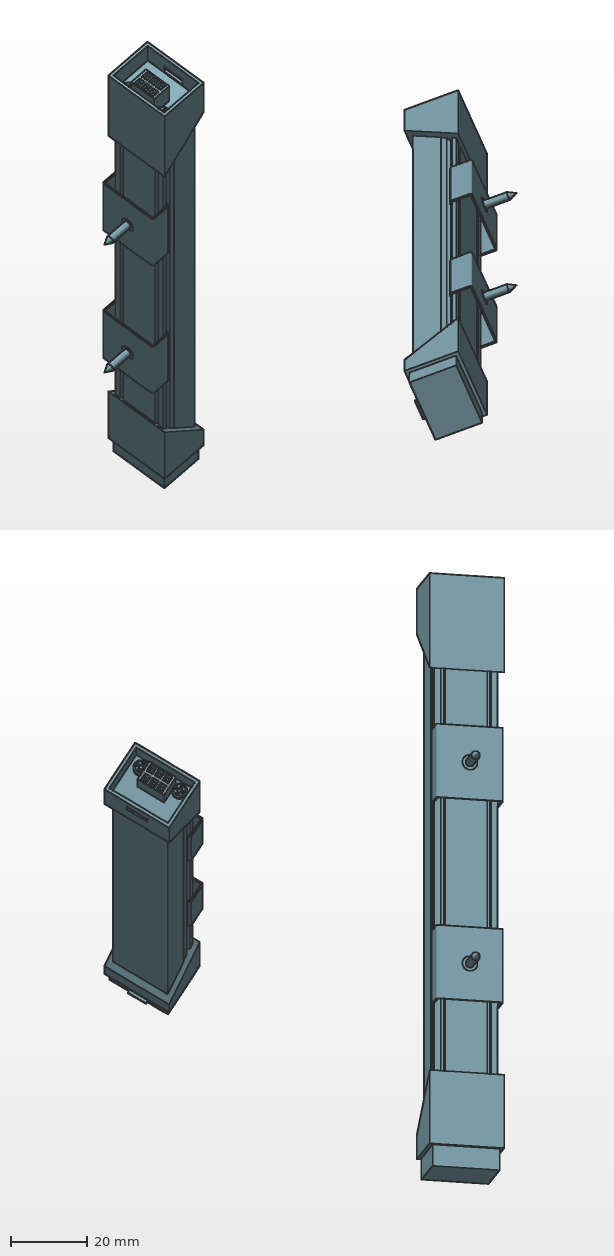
import cadquery as cq

LENGTH = 161.7

CAP_WIDTH = 20.0
CAP_DEPTH = 15.2
CAP_BACK_REACH = 12.5
CAP_FRONT_REACH = 25.9
WALL = 1.0
PLUG_LENGTH = 5.8
SOCKET_DEPTH = 6.3
SOCKET_FLOOR = LENGTH - SOCKET_DEPTH

LATCH_WIDTH = 5.7
LATCH_TOP = 1.8
LATCH_TIP = 1.3
LATCH_BOTTOM = 0.8
WINDOW_SILL = 0.5
WINDOW_WIDTH = 6.5
WINDOW_HEIGHT = 2.0

CONNECTOR_WIDTH = 8.2
CONNECTOR_DEPTH = 5.8
CONNECTOR_Y = 5.3
CONTACT_COLUMNS = 3
CONTACT_ROWS = 2
COLUMN_PITCH = 2.5
ROW_PITCH = 2.9
CONTACT_WIDTH = 1.8
CONTACT_HEIGHT = 2.1
CONTACT_DEPTH = 3.2
PIN_WIDTH = 0.8
PIN_RECESS = 0.8

CAP_SCREW_OFFSET = 6.0
CAP_SCREW_Y = 3.5
CAP_SCREW_HEIGHT = 1.5
CROSS_LENGTH = 2.3
CROSS_WIDTH = 0.6
CROSS_DEPTH = 0.8

PROFILE_WIDTH = 17.0
PROFILE_HALF = PROFILE_WIDTH / 2
PROFILE_FRONT = 1.1
PROFILE_BACK = 13.5
PROFILE_OVERLAP = 1.6
V_START = 2.3
V_HALF = 0.8
V_DEPTH = 1.0
STEP_BACK = 5.5
STEP_DEPTH = 0.2
SLOT_INNER = 5.7
SLOT_OUTER = 6.8
SLOT_DEPTH = 1.6

SHEET = 0.5
CLIP_HEIGHT = 20.0
CLIP_FRONT = -3.4
CLIP_BEND = 0.5
CLIP_LIP = 0.5
CLIP_SPACING = 55.0
LOWER_CLIP_Z = 54.7
CLIP_LEVELS = [LOWER_CLIP_Z, LOWER_CLIP_Z + CLIP_SPACING]

HEAD_DIAMETER = 4.0
HEAD_TOP = -1.3
HEAD_CHAMFER = 0.5
SHANK_DIAMETER = 2.3
SHANK_END = -10.2
TIP = -12.5


def box(x_range, y_range, z_range):
    """Axis-aligned block between the given limits."""
    size = [high - low for low, high in (x_range, y_range, z_range)]
    corner = (x_range[0], y_range[0], z_range[0])
    return cq.Workplane("XY").box(*size, centered=False).translate(corner)


def centred(width):
    return (-width / 2, width / 2)


def side_extrusion(points, width):
    """Prism of a (Y, Z) outline, centred on the mid plane."""
    return cq.Workplane("YZ").polyline(points).close().extrude(width / 2, both=True)


def mirrored_outline(half):
    """Complete a right-hand (X, Y) outline with its mirror image."""
    return half + [(-x, y) for x, y in reversed(half)]


def make_profile():
    v_middle = V_START + V_HALF
    v_end = V_START + 2 * V_HALF
    stepped = PROFILE_HALF - STEP_DEPTH
    half = [
        (SLOT_INNER, PROFILE_FRONT),
        (SLOT_INNER, PROFILE_FRONT + SLOT_DEPTH),
        (SLOT_OUTER, PROFILE_FRONT + SLOT_DEPTH),
        (SLOT_OUTER, PROFILE_FRONT),
        (PROFILE_HALF, PROFILE_FRONT),
        (PROFILE_HALF, V_START),
        (PROFILE_HALF - V_DEPTH, v_middle),
        (stepped, v_end),
        (stepped, STEP_BACK),
        (PROFILE_HALF, STEP_BACK),
        (PROFILE_HALF, PROFILE_BACK),
    ]
    end_inset = CAP_BACK_REACH - PROFILE_OVERLAP
    return (
        cq.Workplane("XY", origin=(0, 0, end_inset))
        .polyline(mirrored_outline(half))
        .close()
        .extrude(LENGTH - 2 * end_inset)
    )


def make_bottom_cap():
    """Sloped cap with the plug and its snap latch below it."""
    cap = side_extrusion(
        [(0, PLUG_LENGTH), (CAP_DEPTH, PLUG_LENGTH), (CAP_DEPTH, CAP_BACK_REACH), (0, CAP_FRONT_REACH)],
        CAP_WIDTH,
    )
    plug_back = CAP_DEPTH - WALL
    plug = box(centred(CAP_WIDTH - 2 * WALL), (WALL, plug_back), (0, PLUG_LENGTH))
    latch = side_extrusion(
        [(plug_back, LATCH_BOTTOM), (CAP_DEPTH, LATCH_TIP), (CAP_DEPTH, LATCH_TOP), (plug_back, LATCH_TOP)],
        LATCH_WIDTH,
    )
    return cap.union(plug).union(latch)


def make_cap_screw(x):
    """Screw head with a cross recess, standing on the socket floor."""
    top = SOCKET_FLOOR + CAP_SCREW_HEIGHT
    head = (
        cq.Workplane("XY", origin=(x, CAP_SCREW_Y, SOCKET_FLOOR))
        .circle(HEAD_DIAMETER / 2)
        .extrude(CAP_SCREW_HEIGHT)
        .faces(">Z")
        .chamfer(HEAD_CHAMFER)
    )
    recess_floor = cq.Workplane("XY", origin=(x, CAP_SCREW_Y, top - CROSS_DEPTH))
    for arm_size in ((CROSS_LENGTH, CROSS_WIDTH), (CROSS_WIDTH, CROSS_LENGTH)):
        head = head.cut(recess_floor.rect(*arm_size).extrude(CROSS_DEPTH))
    return head


def contact_grid(z):
    """Workplane with one point at each contact, at height z."""
    return cq.Workplane("XY", origin=(0, CONNECTOR_Y, z)).rarray(
        COLUMN_PITCH, ROW_PITCH, CONTACT_COLUMNS, CONTACT_ROWS
    )


def make_connector():
    """Block flush with the socket's rim, with a pin in each hole of its contact grid."""
    block = (
        cq.Workplane("XY", origin=(0, CONNECTOR_Y, SOCKET_FLOOR))
        .rect(CONNECTOR_WIDTH, CONNECTOR_DEPTH)
        .extrude(SOCKET_DEPTH)
    )
    hole_floor = LENGTH - CONTACT_DEPTH
    holes = contact_grid(hole_floor).rect(CONTACT_WIDTH, CONTACT_HEIGHT).extrude(CONTACT_DEPTH)
    pins = contact_grid(hole_floor).rect(PIN_WIDTH, PIN_WIDTH).extrude(CONTACT_DEPTH - PIN_RECESS)
    return block.cut(holes).union(pins)


def make_top_cap():
    """Sloped cap with the socket, its latch window, connector and screws."""
    cap = side_extrusion(
        [
            (0, LENGTH),
            (CAP_DEPTH, LENGTH),
            (CAP_DEPTH, LENGTH - CAP_BACK_REACH),
            (0, LENGTH - CAP_FRONT_REACH),
        ],
        CAP_WIDTH,
    )
    socket_back = CAP_DEPTH - WALL
    socket = box(centred(CAP_WIDTH - 2 * WALL), (WALL, socket_back), (SOCKET_FLOOR, LENGTH))
    sill = SOCKET_FLOOR + WINDOW_SILL
    window = box(centred(WINDOW_WIDTH), (socket_back, CAP_DEPTH), (sill, sill + WINDOW_HEIGHT))
    cap = cap.cut(socket).cut(window).union(make_connector())
    for x in (-CAP_SCREW_OFFSET, CAP_SCREW_OFFSET):
        cap = cap.union(make_cap_screw(x))
    return cap


def make_lamp():
    return make_profile().union(make_bottom_cap()).union(make_top_cap())


def make_clip(z):
    """Bent sheet whose lips hook into the V grooves, with a hole for the screw head."""
    inside = PROFILE_HALF
    outside = inside + SHEET
    lip_run = CLIP_LIP * V_DEPTH / V_HALF
    flank = (V_DEPTH ** 2 + V_HALF ** 2) ** 0.5
    normal_x = SHEET * V_HALF / flank
    normal_y = SHEET * V_DEPTH / flank
    lip_corner = V_START + SHEET * (flank - V_HALF) / V_DEPTH
    lip_end = (inside - lip_run, V_START + CLIP_LIP)
    half = [
        (outside, CLIP_FRONT),
        (outside, lip_corner),
        (lip_end[0] + normal_x, lip_end[1] + normal_y),
        lip_end,
        (inside, V_START),
        (inside, CLIP_FRONT + SHEET),
    ]
    clip = (
        cq.Workplane("XY", origin=(0, 0, z - CLIP_HEIGHT / 2))
        .polyline(mirrored_outline(half))
        .close()
        .extrude(CLIP_HEIGHT)
        .edges("|Z and <Y")
        .fillet(CLIP_BEND)
    )
    hole = (
        cq.Workplane("XZ", origin=(0, CLIP_FRONT + SHEET, z))
        .circle(HEAD_DIAMETER / 2)
        .extrude(SHEET)
    )
    return clip.cut(hole)


def make_clip_screw(z):
    """Pointed screw whose chamfered head fills the clip's hole, flush with the clip's front."""
    head_radius = HEAD_DIAMETER / 2
    shank_radius = SHANK_DIAMETER / 2
    half_section = [
        (0, HEAD_TOP),
        (head_radius - HEAD_CHAMFER, HEAD_TOP),
        (head_radius, HEAD_TOP - HEAD_CHAMFER),
        (head_radius, CLIP_FRONT),
        (shank_radius, CLIP_FRONT),
        (shank_radius, SHANK_END),
        (0, TIP),
    ]
    return (
        cq.Workplane("XY", origin=(0, 0, z))
        .polyline(half_section)
        .close()
        .revolve(360, (0, 0, 0), (0, 1, 0))
    )


lamp = make_lamp()
clips = [make_clip(z) for z in CLIP_LEVELS]
clip_screws = [make_clip_screw(z) for z in CLIP_LEVELS]

result = cq.Compound.makeCompound([lamp.val()] + [body.val() for body in clips + clip_screws])